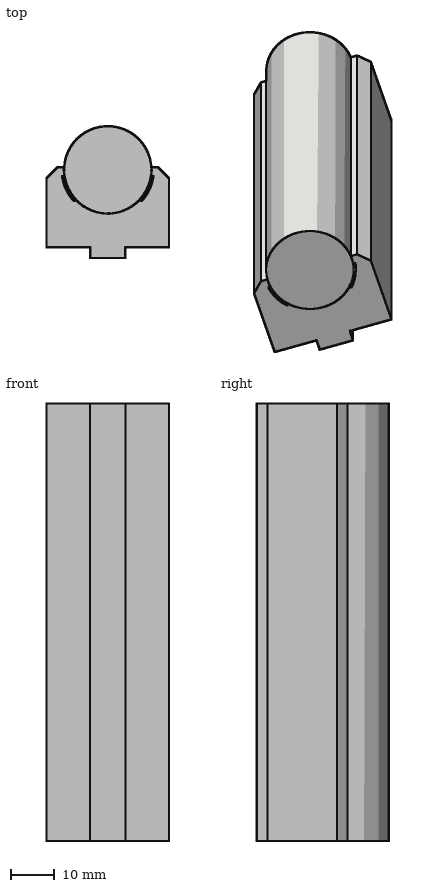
import cadquery as cq
import math

length = 100.0
overall_depth = 30.2

bar_radius = 10.0

holder_width = 28.0
holder_depth = 18.3
corner_chamfer = 2.5
tongue_width = 8.0
tongue_depth = 2.5

relief_radius = 10.5
relief_start_angle = 8.0
relief_end_angle = 43.0

bar_center_y = overall_depth - tongue_depth - bar_radius


def bar_point(radius, angle):
    """Point at a radius from the bar axis, at an angle below horizontal on the +X side."""
    turn = math.radians(angle)
    return (radius * math.cos(turn), bar_center_y - radius * math.sin(turn))


def make_bar():
    return cq.Workplane("XY").center(0, bar_center_y).circle(bar_radius).extrude(length)


def make_holder_blank():
    """Block with two chamfered edges beside the bar and a tongue on its back face."""
    block = (
        cq.Workplane("XY")
        .box(holder_width, holder_depth, length, centered=(True, False, False))
        .edges("|Z and >Y")
        .chamfer(corner_chamfer)
    )
    tongue = (
        cq.Workplane("XY")
        .center(0, -tongue_depth)
        .box(tongue_width, tongue_depth, length, centered=(True, False, False))
    )
    return block.union(tongue)


def make_relief():
    """Thin arc-shaped slot along the bar on the +X side."""
    middle_angle = (relief_start_angle + relief_end_angle) / 2
    return (
        cq.Workplane("XY")
        .moveTo(*bar_point(bar_radius, relief_start_angle))
        .lineTo(*bar_point(relief_radius, relief_start_angle))
        .threePointArc(
            bar_point(relief_radius, middle_angle),
            bar_point(relief_radius, relief_end_angle),
        )
        .lineTo(*bar_point(bar_radius, relief_end_angle))
        .threePointArc(
            bar_point(bar_radius, middle_angle),
            bar_point(bar_radius, relief_start_angle),
        )
        .close()
        .extrude(length)
    )


def make_holder():
    """Holder with a seat matching the bar and a relief slot on each side of it."""
    relief = make_relief()
    seat = make_bar()
    return make_holder_blank().cut(seat).cut(relief).cut(relief.mirror("YZ"))


bar = make_bar()
holder = make_holder()

result = cq.Compound.makeCompound([holder.val(), bar.val()])